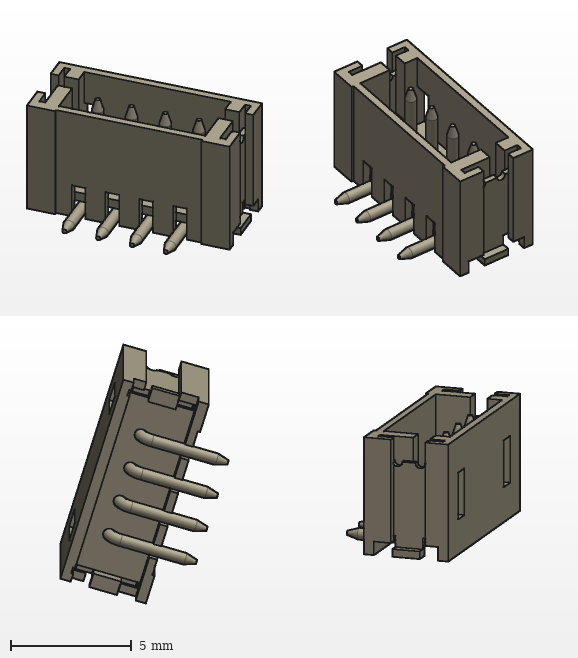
import cadquery as cq


housing_length = 9.0
housing_depth = 3.7
housing_height = 5.0
front_recess = 0.1

back_wall = 0.36
cavity_length = 6.5
cavity_front = 3.26
floor_underside = 0.585
front_floor_top = 1.0
rear_floor_top = 1.5
floor_step = 1.86
rear_leg_depth = 0.45

window_width = 0.78
window_top = 3.5

tab_thickness = 0.25
outer_wall = 0.36
slot_front = 3.2
opening_back = 1.0
outer_opening_front = 2.51
inner_opening_front = 1.755
inner_opening_bottom = 2.0

pin_count = 4
pin_row_length = 4.5
pin_diameter = 0.5
pin_tip_diameter = 0.2
pin_tip_length = 0.5
pin_bend_radius = 0.5
pin_depth = 1.4
pin_top = 4.5
pin_front = 5.2
pin_slot_width = 0.6
pin_slot_height = 1.5

tab_back = 0.56
tab_front = 3.15
tab_top = 4.0
shoulder_height = 0.81
foot_back = 1.25
foot_front = 2.45
foot_height = 0.33
notch_radius = 0.21
notch_spacing = 1.0

half_length = housing_length / 2
half_cavity = cavity_length / 2
slot_outer_x = half_length - outer_wall
slot_inner_x = slot_outer_x - tab_thickness
pin_pitch = pin_row_length / (pin_count - 1)
pin_positions = [i * pin_pitch - pin_row_length / 2 for i in range(pin_count)]
pin_radius = pin_diameter / 2
pin_tip_radius = pin_tip_diameter / 2


def block(x_range, depth_range, z_range):
    """Box between two X values, two depths from the back face and two heights."""
    (x0, x1), (d0, d1), (z0, z1) = x_range, depth_range, z_range
    return cq.Workplane("XY").box(x1 - x0, d1 - d0, z1 - z0, centered=False).translate((x0, -d1, z0))


def both_ends(shape):
    """A shape at the -X end together with its mirror image at the +X end."""
    return shape.union(shape.mirror("YZ"))


def make_pin(x):
    """Round pin that rises through the floor and bends forward along the board."""
    shank_top = pin_top - pin_tip_length
    shank_front = pin_front - pin_tip_length
    path = (
        cq.Workplane("YZ", origin=(x, 0, 0))
        .moveTo(-pin_depth, shank_top)
        .lineTo(-pin_depth, pin_radius + pin_bend_radius)
        .radiusArc((-pin_depth - pin_bend_radius, pin_radius), pin_bend_radius)
        .lineTo(-shank_front, pin_radius)
    )
    shank = cq.Workplane("XY", origin=(x, -pin_depth, shank_top)).circle(pin_radius).sweep(path)
    upper_tip = cq.Solid.makeCone(
        pin_radius, pin_tip_radius, pin_tip_length, cq.Vector(x, -pin_depth, shank_top), cq.Vector(0, 0, 1)
    )
    front_tip = cq.Solid.makeCone(
        pin_radius, pin_tip_radius, pin_tip_length, cq.Vector(x, -shank_front, pin_radius), cq.Vector(0, -1, 0)
    )
    return shank.union(cq.Workplane(upper_tip)).union(cq.Workplane(front_tip))


def make_left_tab():
    """Solder tab of the -X end: a plate in the slot with a notched top and an outward foot."""
    plate_x = (-slot_outer_x, -slot_inner_x)
    foot_span = (foot_back, foot_front)
    plate = block(plate_x, (tab_back, tab_front), (shoulder_height, tab_top))
    stem = block(plate_x, foot_span, (0, shoulder_height))
    foot = block((-half_length, -slot_inner_x), foot_span, (0, foot_height))
    notches = (
        cq.Workplane("YZ", origin=(-slot_outer_x, -(tab_back + tab_front) / 2, tab_top))
        .rarray(notch_spacing, 0.09, 2, 1)
        .circle(notch_radius)
        .extrude(tab_thickness)
    )
    return plate.union(stem).union(foot).cut(notches)


def make_housing(pins):
    """Open-topped housing with holes that match the pins."""
    full_length = (-half_length, half_length)
    full_height = (0, housing_height)
    cavity_x = (-half_cavity, half_cavity)
    body = block(full_length, (0, housing_depth), full_height)

    wall_front = housing_depth - front_recess
    body = body.cut(block(cavity_x, (wall_front, housing_depth), full_height))

    body = body.cut(block(cavity_x, (back_wall, floor_step), (rear_floor_top, housing_height)))
    body = body.cut(block(cavity_x, (floor_step, cavity_front), (front_floor_top, housing_height)))

    body = body.cut(block(full_length, (rear_leg_depth, cavity_front), (0, floor_underside)))

    window_x = (-half_cavity, -half_cavity + window_width)
    body = body.cut(both_ends(block(window_x, (0, back_wall), (rear_floor_top, window_top))))

    slot = block((-slot_outer_x, -slot_inner_x), (back_wall, slot_front), full_height)
    outer_opening = block((-half_length, -slot_outer_x), (opening_back, outer_opening_front), full_height)
    inner_opening = block(
        (-slot_inner_x, -half_cavity),
        (opening_back, inner_opening_front),
        (inner_opening_bottom, housing_height),
    )
    body = body.cut(both_ends(slot.union(outer_opening).union(inner_opening)))

    for x, pin in zip(pin_positions, pins):
        slot_x = (x - pin_slot_width / 2, x + pin_slot_width / 2)
        body = body.cut(block(slot_x, (cavity_front, housing_depth), (0, pin_slot_height)))
        body = body.cut(pin)
    return body


pins = [make_pin(x) for x in pin_positions]
left_tab = make_left_tab()
tabs = [left_tab, left_tab.mirror("YZ")]
housing = make_housing(pins)

result = cq.Compound.makeCompound([housing.val(), *[pin.val() for pin in pins], *[tab.val() for tab in tabs]])